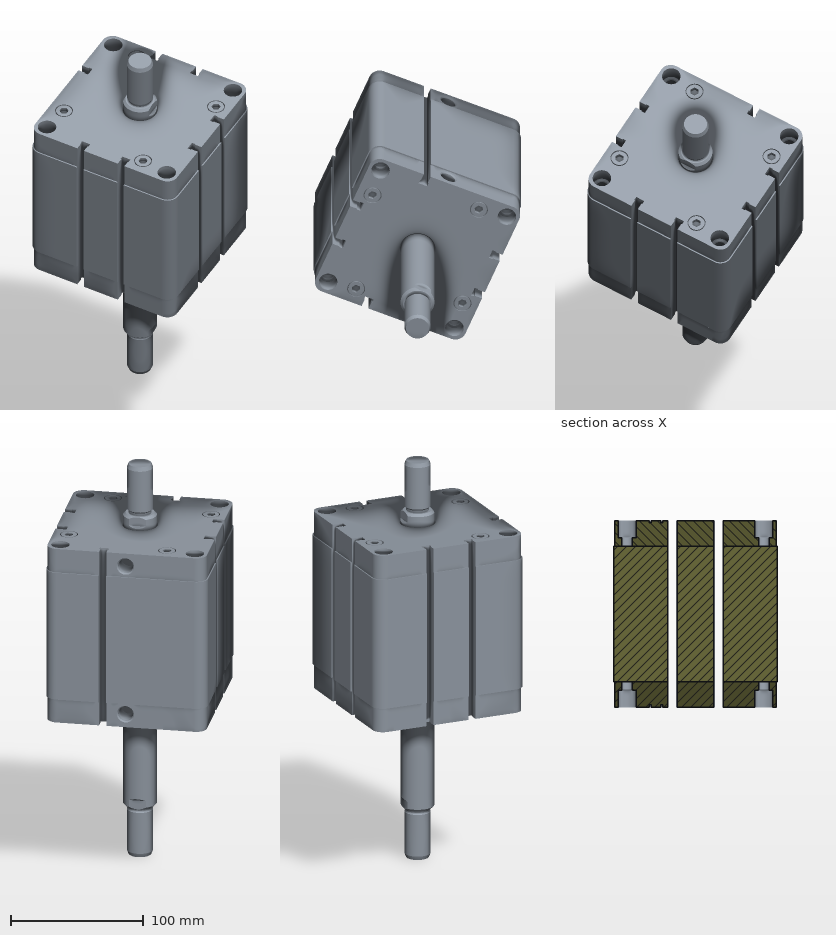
import cadquery as cq
total_length = 316.5

barrel_side = 124.0
cap_side = 122.2
barrel_corner_radius = 9.2
cap_inset = (barrel_side - cap_side) / 2
cap_corner_radius = barrel_corner_radius - cap_inset

block_top_z = 108.5
block_length = 141.0
cap_height = 19.0
block_bottom_z = block_top_z - block_length
barrel_bottom_z = block_bottom_z + cap_height
barrel_height = block_length - 2 * cap_height

slot_offset = 17.5
slot_mouth_width = 5.7
slot_floor_width = 7.0
slot_depth = 9.5
slot_floor_depth = 3.0

corner_hole_offset = 51.5
corner_bore_diameter = 14.0
corner_bore_depth = 12.7
thread_mouth_diameter = 10.0
thread_diameter = 9.0

screw_position = (-29.8, 49.0)
screw_ring_outer_diameter = 13.5
screw_ring_inner_diameter = 12.0
screw_ring_depth = 1.5
socket_across_corners = 7.0
socket_depth = 3.2

port_diameter = 11.5
port_mouth_diameter = 13.3
port_depth = 15.8
port_edge_distance = 10.5

rod_diameter = 25.5
rod_hole_mouth_diameter = 27.2
shank_length = 39.5
shank_diameter = 20.0
neck_diameter = 17.5
neck_length = 2.0
tip_diameter = 17.5
tip_chamfer_length = 3.2
shoulder_chamfer = 2.0
flat_width = 22.0
flat_length = 7.3


def square_prism(side, corner_radius, height):
    """Upright prism with rounded corners, standing on Z = 0."""
    return cq.Workplane("XY").rect(side, side).extrude(height).edges("|Z").fillet(corner_radius)


def cone_mouth(large_diameter, small_diameter):
    """45-degree countersink that opens at Z = 0 and narrows downwards."""
    depth = (large_diameter - small_diameter) / 2
    return cq.Workplane("XY").circle(large_diameter / 2).workplane(offset=-depth).circle(small_diameter / 2).loft()


def sensor_slots(height):
    """Slots along Z: two on the +Y, -Y and +X faces and one on the -X face."""
    floor = barrel_side / 2 - slot_depth
    mouth = cq.Workplane("XY").box(slot_mouth_width, 2 * slot_depth, height, centered=(True, False, False))
    undercut = cq.Workplane("XY").box(slot_floor_width, slot_floor_depth, height, centered=(True, False, False))
    slot = mouth.union(undercut).translate((0, floor, 0))
    right_slot = slot.translate((slot_offset, 0, 0))
    left_slot = slot.translate((-slot_offset, 0, 0))

    slots = right_slot.union(left_slot)
    for turn in (180, -90):
        for one_slot in (right_slot, left_slot):
            slots = slots.union(one_slot.rotate((0, 0, 0), (0, 0, 1), turn))
    return slots.union(right_slot.rotate((0, 0, 0), (0, 0, 1), 90))


def make_barrel():
    body = square_prism(barrel_side, barrel_corner_radius, barrel_height).cut(sensor_slots(barrel_height))
    body = body.cut(cq.Workplane("XY").circle(rod_diameter / 2).extrude(barrel_height))
    return body.translate((0, 0, barrel_bottom_z))


def corner_hole():
    """Deep counterbore with a countersunk thread hole through the rest of the cap."""
    bore = cq.Workplane("XY").circle(corner_bore_diameter / 2).extrude(-corner_bore_depth)
    thread = cq.Workplane("XY").circle(thread_diameter / 2).extrude(-cap_height)
    mouth = cone_mouth(thread_mouth_diameter, thread_diameter).translate((0, 0, -corner_bore_depth))
    return bore.union(thread).union(mouth)


def screw_recess():
    """Ring groove round a flush screw head, and its hexagon socket."""
    ring = (
        cq.Workplane("XY")
        .circle(screw_ring_outer_diameter / 2)
        .circle(screw_ring_inner_diameter / 2)
        .extrude(-screw_ring_depth)
    )
    socket = cq.Workplane("XY").polygon(6, socket_across_corners).extrude(-socket_depth)
    return ring.union(socket.rotate((0, 0, 0), (0, 0, 1), 30))


def air_port():
    """Countersunk blind hole that enters the -X face."""
    drill = cq.Workplane("XY").circle(port_diameter / 2).extrude(-port_depth)
    port = drill.union(cone_mouth(port_mouth_diameter, port_diameter))
    return port.rotate((0, 0, 0), (0, 1, 0), -90).translate((-cap_side / 2, 0, cap_height - port_edge_distance))


def make_cap():
    """Cap standing on Z = 0 with its outer face up."""
    body = square_prism(cap_side, cap_corner_radius, cap_height).cut(sensor_slots(cap_height)).cut(air_port())

    body = body.cut(cq.Workplane("XY").circle(rod_diameter / 2).extrude(cap_height))
    body = body.cut(cone_mouth(rod_hole_mouth_diameter, rod_diameter).translate((0, 0, cap_height)))

    for x in (-corner_hole_offset, corner_hole_offset):
        for y in (-corner_hole_offset, corner_hole_offset):
            body = body.cut(corner_hole().translate((x, y, cap_height)))

    screw_x, screw_y = screw_position
    for x, y in ((screw_x, screw_y), (screw_y, -screw_x), (-screw_x, -screw_y), (-screw_y, screw_x)):
        body = body.cut(screw_recess().translate((x, y, cap_height)))
    return body


def rod_half():
    """Upper half of the rod, from Z = 0 to the tip, with two wrench flats that run out at 45 degrees."""
    tip_z = total_length / 2
    shoulder_z = tip_z - shank_length
    neck_top_z = shoulder_z + neck_length
    shank_start_z = neck_top_z + (shank_diameter - neck_diameter) / 2
    half = (
        cq.Workplane("XZ")
        .moveTo(0, 0)
        .lineTo(rod_diameter / 2, 0)
        .lineTo(rod_diameter / 2, shoulder_z - shoulder_chamfer)
        .lineTo(rod_diameter / 2 - shoulder_chamfer, shoulder_z)
        .lineTo(neck_diameter / 2, shoulder_z)
        .lineTo(neck_diameter / 2, neck_top_z)
        .lineTo(shank_diameter / 2, shank_start_z)
        .lineTo(shank_diameter / 2, tip_z - tip_chamfer_length)
        .lineTo(tip_diameter / 2, tip_z)
        .lineTo(0, tip_z)
        .close()
        .revolve(360, (0, 0, 0), (0, 1, 0))
    )
    flat_end_z = shoulder_z - flat_length
    flat_depth = (rod_diameter - flat_width) / 2
    wrench_flat = (
        cq.Workplane("XZ")
        .moveTo(flat_width / 2, shoulder_z)
        .lineTo(flat_width / 2, flat_end_z)
        .lineTo(rod_diameter / 2, flat_end_z - flat_depth)
        .lineTo(rod_diameter / 2, shoulder_z)
        .close()
        .extrude(rod_diameter / 2, both=True)
    )
    half = half.cut(wrench_flat).cut(wrench_flat.mirror("YZ"))
    return half


def make_rod():
    upper = rod_half()
    return upper.union(upper.mirror("XY"))


barrel = make_barrel()
cap = make_cap()
top_cap = cap.translate((0, 0, block_top_z - cap_height))
bottom_cap = cap.mirror("XY").translate((0, 0, barrel_bottom_z))
piston_rod = make_rod()

result = cq.Compound.makeCompound([barrel.val(), top_cap.val(), bottom_cap.val(), piston_rod.val()])